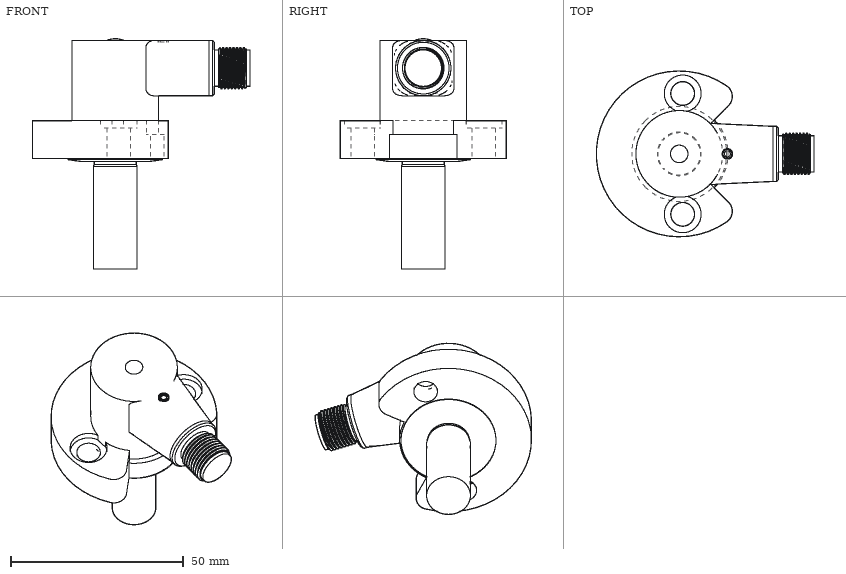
import cadquery as cq
import math

STEM_TOP = 29.75
NECK_BOTTOM = 30.35
SEAT_BOTTOM = 31.1
FLANGE_BOTTOM = 31.95
FLANGE_TOP = 42.95
BODY_TOP = 66.15
TOTAL_HEIGHT = 66.7

STEM_RADIUS = 6.35
NECK_RADIUS = 6.15
SEAT_RADIUS = 14.15
SEAT_LIP_RADIUS = 13.75
SEAT_LIP_DEPTH = 0.3
SEAT_TIP_RADIUS = 9.75
SEAT_TOP = 39.0
BODY_RADIUS = 12.55
DOME_RADIUS = 2.55

FLANGE_RADIUS = 24.0
HORN_FILLET = 3.75
NOTCH_APEX_X = 0.35
NOTCH_HALF_ANGLE = 45.0
HOLE_X = 1.0
HOLE_Y = 17.5
HOLE_DIAMETER = 6.8
COUNTERBORE_DIAMETER = 10.7
COUNTERBORE_DEPTH = 2.15

ARM_RADIUS = 8.0
ARM_Z = BODY_TOP - ARM_RADIUS
ARM_START_X = 8.7
ARM_START_WIDTH = 17.75
ARM_START_CORNER = 2.0
ARM_END_FLAT = 0.03
COLLAR_START_X = 27.15
COLLAR_END_X = 28.7
COLLAR_CHAMFER = 0.55

MARKER_X = 13.95
MARKER_OUTER_RADIUS = 1.55
MARKER_RING_RADIUS = 1.3
MARKER_WELL_RADIUS = 0.9
MARKER_DEPTH = 0.4

CONNECTOR_RADIUS = 5.3
CONNECTOR_END_X = 39.0
THREAD_START_X = 29.8
THREAD_END_X = 38.0
THREAD_ROOT_RADIUS = 5.5
THREAD_RADIUS = 6.0
THREAD_CHAMFER = 0.55
THREAD_PITCH = 1.0
THREAD_TURNS = 9.5
THREAD_LEAD_IN = 0.6
RIDGE_BASE_RADIUS = 5.4
RIDGE_BASE_WIDTH = 0.9
RIDGE_CREST_RADIUS = 6.15
RIDGE_CREST_WIDTH = 0.1


def make_flange():
    """Disc with a V notch on the +X side, rounded horns and two counterbored holes."""
    thickness = FLANGE_TOP - FLANGE_BOTTOM
    notch_reach = 2 * FLANGE_RADIUS
    notch_rise = notch_reach * math.tan(math.radians(NOTCH_HALF_ANGLE))
    notch = (
        cq.Workplane("XY", origin=(NOTCH_APEX_X, 0, FLANGE_BOTTOM))
        .polyline([(0, 0), (notch_reach, -notch_rise), (notch_reach, notch_rise)])
        .close()
        .extrude(thickness)
    )
    disc = cq.Workplane("XY", origin=(0, 0, FLANGE_BOTTOM)).circle(FLANGE_RADIUS).extrude(thickness)
    horn_edges = cq.selectors.BoxSelector(
        (BODY_RADIUS, -FLANGE_RADIUS, FLANGE_BOTTOM), (FLANGE_RADIUS, FLANGE_RADIUS, FLANGE_TOP)
    )
    return (
        disc.cut(notch)
        .edges("|Z").edges(horn_edges)
        .fillet(HORN_FILLET)
        .faces(">Z").workplane(origin=(0, 0, FLANGE_TOP))
        .pushPoints([(HOLE_X, HOLE_Y), (HOLE_X, -HOLE_Y)])
        .cboreHole(HOLE_DIAMETER, COUNTERBORE_DIAMETER, COUNTERBORE_DEPTH)
    )


def make_core():
    """Turned stem, neck, seat disc and body, with a shallow domed cap on top."""
    dome_height = TOTAL_HEIGHT - BODY_TOP
    dome_sphere_radius = (DOME_RADIUS**2 + dome_height**2) / (2 * dome_height)
    half_angle = math.asin(DOME_RADIUS / dome_sphere_radius) / 2
    dome_mid = (
        dome_sphere_radius * math.sin(half_angle),
        TOTAL_HEIGHT - dome_sphere_radius * (1 - math.cos(half_angle)),
    )
    return (
        cq.Workplane("XZ")
        .lineTo(STEM_RADIUS, 0)
        .lineTo(STEM_RADIUS, STEM_TOP)
        .lineTo(NECK_RADIUS, NECK_BOTTOM)
        .lineTo(NECK_RADIUS, SEAT_BOTTOM)
        .lineTo(SEAT_TIP_RADIUS, SEAT_BOTTOM)
        .lineTo(SEAT_LIP_RADIUS, FLANGE_BOTTOM - SEAT_LIP_DEPTH)
        .lineTo(SEAT_LIP_RADIUS, FLANGE_BOTTOM)
        .lineTo(SEAT_RADIUS, FLANGE_BOTTOM)
        .lineTo(SEAT_RADIUS, SEAT_TOP)
        .lineTo(BODY_RADIUS, SEAT_TOP)
        .lineTo(BODY_RADIUS, BODY_TOP)
        .lineTo(DOME_RADIUS, BODY_TOP)
        .threePointArc(dome_mid, (0, TOTAL_HEIGHT))
        .close()
        .revolve(360, (0, 0), (0, 1))
    )


def make_arm():
    """Blend from the rounded rectangle to a near-perfect circle, then a chamfered collar."""
    outlines = [
        (ARM_START_X, ARM_START_WIDTH, ARM_START_CORNER),
        (COLLAR_START_X, 2 * ARM_RADIUS, ARM_RADIUS - ARM_END_FLAT / 2),
    ]
    wires = []
    for x, width, corner in outlines:
        plane = cq.Workplane("YZ", origin=(x, 0, ARM_Z))
        outline = cq.Sketch().rect(width, 2 * ARM_RADIUS).vertices().fillet(corner)
        wires.append(plane.placeSketch(outline).extrude(0.7).faces("<X").wires().val())
    blend = cq.Workplane(cq.Solid.makeLoft(wires, True))
    collar = (
        cq.Workplane("YZ", origin=(COLLAR_START_X, 0, ARM_Z))
        .circle(ARM_RADIUS)
        .extrude(COLLAR_END_X - COLLAR_START_X)
        .faces(">X")
        .chamfer(COLLAR_CHAMFER)
    )
    return blend.union(collar)


def make_marker_recess():
    """Annular groove around a small round well, sunk into the flat top of the arm."""
    mouth = cq.Workplane("XY", origin=(MARKER_X, 0, BODY_TOP))
    groove = mouth.circle(MARKER_OUTER_RADIUS).circle(MARKER_RING_RADIUS).extrude(-MARKER_DEPTH)
    well = mouth.circle(MARKER_WELL_RADIUS).extrude(-MARKER_DEPTH)
    return groove.add(well).combine()


def make_thread(length):
    """Threaded cylinder standing on the XY plane, its helical ridge trimmed by chamfered ends."""
    root = cq.Workplane("XY").circle(THREAD_ROOT_RADIUS).extrude(length)
    envelope = cq.Workplane("XY").circle(THREAD_RADIUS).extrude(length).edges().chamfer(THREAD_CHAMFER)
    helix = cq.Wire.makeHelix(THREAD_PITCH, THREAD_TURNS * THREAD_PITCH, RIDGE_BASE_RADIUS)
    ridge = (
        cq.Workplane("XZ")
        .moveTo(RIDGE_BASE_RADIUS, -RIDGE_BASE_WIDTH / 2)
        .lineTo(RIDGE_CREST_RADIUS, -RIDGE_CREST_WIDTH / 2)
        .lineTo(RIDGE_CREST_RADIUS, RIDGE_CREST_WIDTH / 2)
        .lineTo(RIDGE_BASE_RADIUS, RIDGE_BASE_WIDTH / 2)
        .close()
        .sweep(cq.Workplane(helix), isFrenet=True)
        .rotate((0, 0, 0), (0, 0, 1), 180)
        .translate((0, 0, -THREAD_LEAD_IN))
    )
    return root.union(ridge.intersect(envelope))


def make_connector():
    """Plain barrel with a threaded section, turned from the Z axis onto the arm axis."""
    barrel = (
        cq.Workplane("XY", origin=(0, 0, COLLAR_START_X))
        .circle(CONNECTOR_RADIUS)
        .extrude(CONNECTOR_END_X - COLLAR_START_X)
    )
    thread = make_thread(THREAD_END_X - THREAD_START_X).translate((0, 0, THREAD_START_X))
    return barrel.union(thread).rotate((0, 0, 0), (0, 1, 0), 90).translate((0, 0, ARM_Z))


result = (
    make_core()
    .union(make_flange())
    .union(make_arm())
    .cut(make_marker_recess())
    .union(make_connector())
)